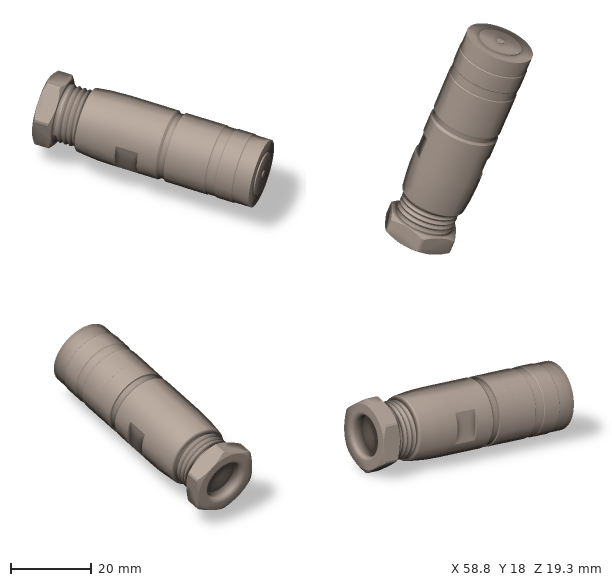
import cadquery as cq
import math


nut_length = 5.0
nut_across_flats = 17.05
nut_corner_diameter = 19.3
nut_face_diameter = 16.9
nut_chamfer_length = 0.7

bore_diameter = 10.6
bore_depth = 3.2
entry_radius = 1.05

thread_diameter = 15.0
thread_pitch = 1.4
thread_depth = 0.6
groove_width = 1.35
groove_overrun = 0.3

body_start = 11.15
body_nose_radius = 0.5
shoulder_small_diameter = 16.7
shoulder_end = 20.2
body_diameter = 18.0
body_end = 33.15
body_chamfer_length = 0.6

flat_start = 22.25
flat_length = 5.95
across_flats = 16.0

neck_diameter = 16.9
rear_ring_start = 35.35
rear_ring_diameter = 17.9
coupling_start = 40.3
coupling_end = 46.4
ring_diameter = 18.0
front_ring_start = 48.9
front_ring_end = 53.65
sleeve_diameter = 17.6
sleeve_end = 58.05
ring_chamfer = (ring_diameter - sleeve_diameter) / 2

insert_diameter = 11.2
insert_end = 58.4
pin_diameter = 2.0
total_length = 58.75


def cylinder(start, end, diameter):
    """Round section along X between two stations."""
    return cq.Workplane("YZ", origin=(start, 0, 0)).circle(diameter / 2).extrude(end - start)


def revolve_about_axis(profile):
    """Turn a closed (x, radius) profile around the connector axis."""
    return profile.close().revolve(360, (0, 0, 0), (1, 0, 0))


def make_nut():
    """Hexagon with flats facing +Y and -Y, its corners turned and chamfered at both ends."""
    hexagon = (
        cq.Workplane("YZ")
        .polygon(6, nut_across_flats / math.cos(math.pi / 6))
        .extrude(nut_length)
        .rotate((0, 0, 0), (1, 0, 0), 30)
    )
    face_radius = nut_face_diameter / 2
    corner_radius = nut_corner_diameter / 2
    envelope = revolve_about_axis(
        cq.Workplane("XY")
        .moveTo(0, 0)
        .lineTo(0, face_radius)
        .lineTo(nut_chamfer_length, corner_radius)
        .lineTo(nut_length - nut_chamfer_length, corner_radius)
        .lineTo(nut_length, face_radius)
        .lineTo(nut_length, 0)
    )
    return hexagon.intersect(envelope)


def make_bore():
    """Blind cable entry whose mouth flares out with a rounded lip."""
    bore_radius = bore_diameter / 2
    return revolve_about_axis(
        cq.Workplane("XY")
        .moveTo(0, 0)
        .lineTo(0, bore_radius + entry_radius)
        .radiusArc((entry_radius, bore_radius), -entry_radius)
        .lineTo(bore_depth, bore_radius)
        .lineTo(bore_depth, 0)
    )


def make_thread():
    """Cylinder with a right-hand V groove starting on the -Y side beside the nut."""
    crest_radius = thread_diameter / 2
    root_radius = crest_radius - thread_depth
    outer_radius = crest_radius + groove_overrun
    outer_half_width = groove_width / 2 * (thread_depth + groove_overrun) / thread_depth
    groove_start = nut_length + thread_pitch / 2
    groove_length = body_start + thread_pitch - groove_start

    helix = cq.Wire.makeHelix(thread_pitch, groove_length, crest_radius)
    groove = (
        cq.Workplane("XZ")
        .moveTo(root_radius, 0)
        .lineTo(outer_radius, outer_half_width)
        .lineTo(outer_radius, -outer_half_width)
        .close()
        .sweep(cq.Workplane(obj=helix), isFrenet=True)
        .rotate((0, 0, 0), (0, 0, 1), -90)
        .rotate((0, 0, 0), (0, 1, 0), 90)
        .translate((groove_start, 0, 0))
    )
    return cylinder(nut_length, body_start + thread_pitch, thread_diameter).cut(groove)


def make_body():
    """Turned body with rounded nose, curved shoulder and wrench flats."""
    small_radius = shoulder_small_diameter / 2
    large_radius = body_diameter / 2
    shoulder_start = body_start + body_nose_radius
    rise = large_radius - small_radius
    run = shoulder_end - shoulder_start
    shoulder_radius = (run**2 + rise**2) / (2 * rise)
    body = revolve_about_axis(
        cq.Workplane("XY")
        .moveTo(body_start, 0)
        .lineTo(body_start, small_radius - body_nose_radius)
        .radiusArc((shoulder_start, small_radius), body_nose_radius)
        .radiusArc((shoulder_end, large_radius), shoulder_radius)
        .lineTo(body_end, large_radius)
        .lineTo(body_end + body_chamfer_length, neck_diameter / 2)
        .lineTo(body_end + body_chamfer_length, 0)
    )
    flat_depth = (body_diameter - across_flats) / 2
    for side in (-1, 1):
        cutter = cq.Workplane("XY").box(flat_length, 2 * flat_depth, body_diameter)
        body = body.cut(
            cutter.translate((flat_start + flat_length / 2, side * (across_flats / 2 + flat_depth), 0))
        )
    return body


def make_rings():
    """Neck, rings and sleeve stacked behind the body, ending in the insert and pin."""
    coupling = cylinder(coupling_start, coupling_end, ring_diameter).faces(">X").chamfer(ring_chamfer)
    front_ring = cylinder(front_ring_start, front_ring_end, ring_diameter)
    front_ring = front_ring.faces("<X or >X").chamfer(ring_chamfer)
    return (
        cylinder(body_end, rear_ring_start, neck_diameter)
        .union(cylinder(rear_ring_start, coupling_start, rear_ring_diameter))
        .union(cylinder(coupling_start, sleeve_end, sleeve_diameter))
        .union(coupling)
        .union(front_ring)
        .union(cylinder(sleeve_end, insert_end, insert_diameter))
        .union(cylinder(insert_end, total_length, pin_diameter))
    )


result = make_nut().cut(make_bore()).union(make_thread()).union(make_body()).union(make_rings())